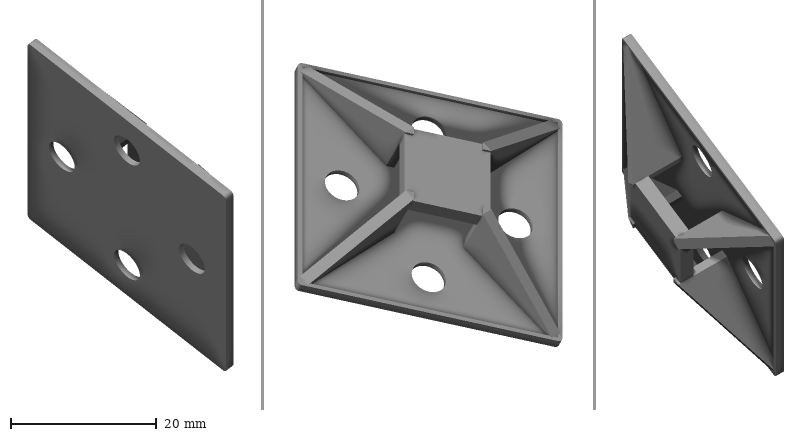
import cadquery as cq
import math

side = 38.48
plate_thickness = 0.85
corner_radius = 0.6
hole_diameter = 5.0
hole_offset = 12.62

rim_back = 1.4
rim_width = 0.6

overall_depth = 8.85
rib_thickness = 1.7
block_face_width = 10.1
block_front = 6.35
block_back = 8.45

corner_cut = rib_thickness / math.sqrt(2)
block_side = block_face_width + 2 * corner_cut

rib_point = block_face_width / math.sqrt(2)
rib_inner = rib_point + rib_thickness / 2
rib_outer = side / math.sqrt(2)


def box_along_y(width, front, back):
    """Square slab centred on the Y axis, between two Y positions."""
    middle = (front + back) / 2
    return cq.Workplane("XY").box(width, back - front, width).translate((0, middle, 0))


def rounded_slab(front, back):
    """Slab with the rounded outline of the plate."""
    return box_along_y(side, front, back).edges("|Y").fillet(corner_radius)


def make_plate():
    holes = (
        cq.Workplane("XZ")
        .polarArray(hole_offset, 0, 360, 4)
        .circle(hole_diameter / 2)
        .extrude(-plate_thickness)
    )
    return rounded_slab(0, plate_thickness).cut(holes)


def make_rim():
    opening = box_along_y(side - 2 * rim_width, plate_thickness, rim_back)
    return rounded_slab(plate_thickness, rim_back).cut(opening)


def make_block():
    return box_along_y(block_side, block_front, block_back).edges("|Y").chamfer(corner_cut)


def make_rib(angle):
    """Triangular rib, tallest at its inner end, turned about Y onto a diagonal."""
    profile = [
        (rib_point, 0),
        (rib_point, overall_depth),
        (rib_inner, overall_depth),
        (rib_outer, plate_thickness),
        (rib_outer, 0),
    ]
    rib = cq.Workplane("XY").polyline(profile).close().extrude(rib_thickness / 2, both=True)
    point = cq.Workplane("XZ").polyline([
        (rib_point, 0),
        (rib_outer, rib_outer - rib_point),
        (rib_outer, rib_point - rib_outer),
    ]).close().extrude(-overall_depth)
    rib = rib.intersect(point)
    return rib.rotate((0, 0, 0), (0, 1, 0), angle).intersect(rounded_slab(0, overall_depth))


result = make_plate().union(make_rim()).union(make_block())
for diagonal in range(4):
    result = result.union(make_rib(45 + 90 * diagonal))